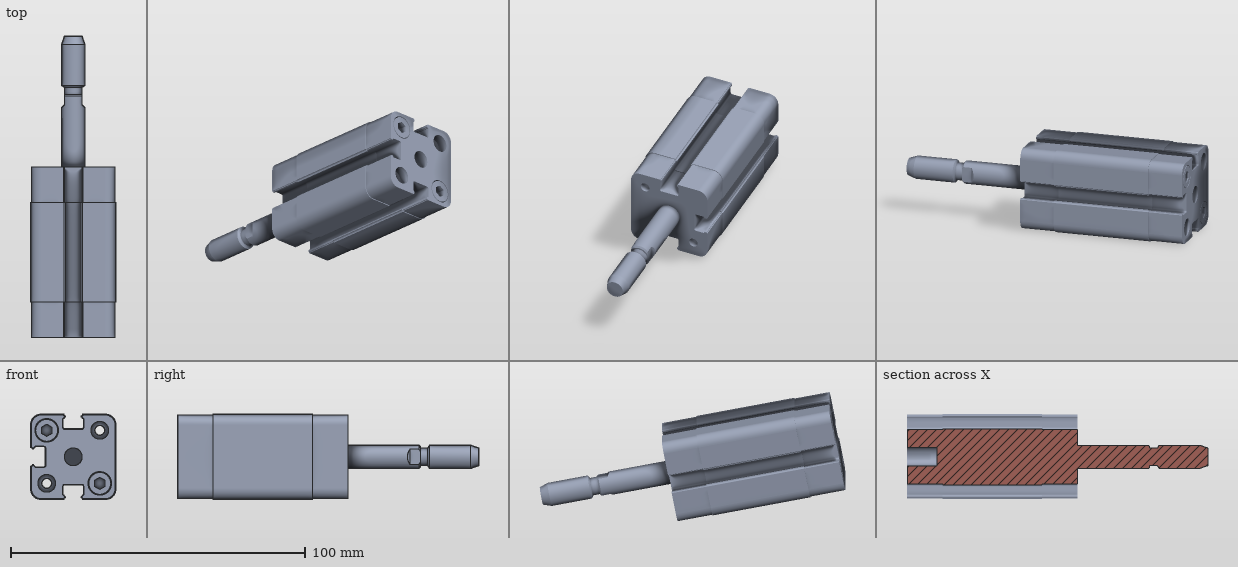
import cadquery as cq


total_length = 102.5
cap_length = 12.1
barrel_length = 33.8
housing_length = barrel_length + 2 * cap_length
barrel_width = 29.0
barrel_corner_radius = 3.6
cap_inset = 0.26
cap_width = barrel_width - 2 * cap_inset
cap_corner_radius = barrel_corner_radius - cap_inset

slot_width = 7.1
slot_depth = 4.9
slot_floor_fillet = 0.6
barrel_mouth_width = 5.2
barrel_lip_thickness = 1.5
barrel_lip_fillet = 0.6
cap_mouth_width = 5.9
cap_lip_thickness = barrel_lip_thickness - cap_inset
cap_lip_fillet = 0.3
slot_angles = (0, 90, 180)

corner_offset = 9.0
mounting_corners = ((corner_offset, corner_offset), (-corner_offset, -corner_offset))
screw_corners = ((-corner_offset, corner_offset), (corner_offset, -corner_offset))
bore_diameter = 6.0
center_bore_depth = 10.0
counterbore_depth = 3.7
through_diameter = 3.3
screw_recess_diameter = 8.0
screw_head_diameter = 7.5
screw_head_height = 4.0
hex_corner_diameter = 4.1
hex_depth = 3.0

rod_diameter = 8.0
neck_diameter = 6.0
tip_cone_length = 2.9
neck_start = 17.4
neck_end = 19.9
neck_chamfer = 0.6
collar_chamfer = 0.5
flats_width = 6.0
flats_end = 23.4


def section(y):
    """Workplane across the part at y, with local axes X and Z."""
    return cq.Workplane("XZ", origin=(0, y, 0))


def slot_cutter(y_start, length, outer_width, mouth_width, lip_thickness, lip_fillet):
    """Slot open at the top of a square block, with rounded lips and floor corners."""
    top = outer_width / 2
    lip_bottom = top - lip_thickness
    floor = top - slot_depth
    cavity = (
        section(y_start)
        .center(0, (floor + lip_bottom) / 2)
        .rect(slot_width, lip_bottom - floor)
        .extrude(-length)
        .edges("|Y and <Z")
        .fillet(slot_floor_fillet)
    )
    half_mouth = mouth_width / 2
    mouth = (
        section(y_start)
        .moveTo(-half_mouth - lip_fillet, lip_bottom)
        .radiusArc((-half_mouth, lip_bottom + lip_fillet), lip_fillet)
        .lineTo(-half_mouth, top - lip_fillet)
        .radiusArc((-half_mouth - lip_fillet, top), lip_fillet)
        .lineTo(half_mouth + lip_fillet, top)
        .radiusArc((half_mouth, top - lip_fillet), lip_fillet)
        .lineTo(half_mouth, lip_bottom + lip_fillet)
        .radiusArc((half_mouth + lip_fillet, lip_bottom), lip_fillet)
        .close()
        .extrude(-length)
    )
    return cavity.union(mouth)


def slotted_block(y_start, length, width, corner_radius, mouth_width, lip_thickness, lip_fillet):
    """Rounded square block with a lipped slot in three of its sides."""
    block = section(y_start).rect(width, width).extrude(-length).edges("|Y").fillet(corner_radius)
    cutter = slot_cutter(y_start, length, width, mouth_width, lip_thickness, lip_fillet)
    for angle in slot_angles:
        block = block.cut(cutter.rotate((0, 0, 0), (0, 1, 0), -angle))
    return block


def end_cap(y_start):
    return slotted_block(
        y_start, cap_length, cap_width, cap_corner_radius,
        cap_mouth_width, cap_lip_thickness, cap_lip_fillet,
    )


def housing():
    barrel = slotted_block(
        cap_length, barrel_length, barrel_width, barrel_corner_radius,
        barrel_mouth_width, barrel_lip_thickness, barrel_lip_fillet,
    )
    return barrel.union(end_cap(0)).union(end_cap(cap_length + barrel_length))


def front_holes():
    """Blind central bore and two mounting holes, counterbored and running through the housing."""
    center_bore = section(0).circle(bore_diameter / 2).extrude(-center_bore_depth)
    corners = section(0).pushPoints(mounting_corners)
    counterbores = corners.circle(bore_diameter / 2).extrude(-counterbore_depth)
    corners = section(0).pushPoints(mounting_corners)
    through = corners.circle(through_diameter / 2).extrude(-housing_length)
    return center_bore.union(counterbores).union(through)


def screw_cutouts():
    """Clearance rings around the flush screw heads, and their hexagon sockets."""
    cutouts = (
        section(0)
        .pushPoints(screw_corners)
        .circle(screw_recess_diameter / 2)
        .circle(screw_head_diameter / 2)
        .extrude(-screw_head_height)
    )
    for x, z in screw_corners:
        socket = (
            section(0)
            .polygon(6, hex_corner_diameter)
            .extrude(-hex_depth)
            .rotate((0, 0, 0), (0, 1, 0), 90)
            .translate((x, 0, z))
        )
        cutouts = cutouts.union(socket)
    return cutouts


def piston_rod():
    rod_radius = rod_diameter / 2
    neck_radius = neck_diameter / 2
    rod = (
        cq.Workplane("XY")
        .moveTo(0, housing_length)
        .lineTo(rod_radius, housing_length)
        .lineTo(rod_radius, total_length - neck_end - collar_chamfer)
        .lineTo(rod_radius - collar_chamfer, total_length - neck_end)
        .lineTo(neck_radius, total_length - neck_end)
        .lineTo(neck_radius, total_length - neck_start)
        .lineTo(rod_radius, total_length - neck_start + neck_chamfer)
        .lineTo(rod_radius, total_length - tip_cone_length)
        .lineTo(neck_radius, total_length)
        .lineTo(0, total_length)
        .close()
        .revolve(360, (0, 0, 0), (0, 1, 0))
    )
    flat_x = flats_width / 2
    runout = rod_radius - flat_x
    flat = (
        cq.Workplane("XY")
        .moveTo(flat_x, total_length - neck_end)
        .lineTo(flat_x, total_length - flats_end)
        .lineTo(rod_radius, total_length - flats_end - runout)
        .lineTo(rod_radius, total_length - neck_end)
        .close()
        .extrude(rod_radius, both=True)
    )
    return rod.cut(flat).cut(flat.mirror("YZ"))


result = housing().cut(front_holes()).cut(screw_cutouts()).union(piston_rod())